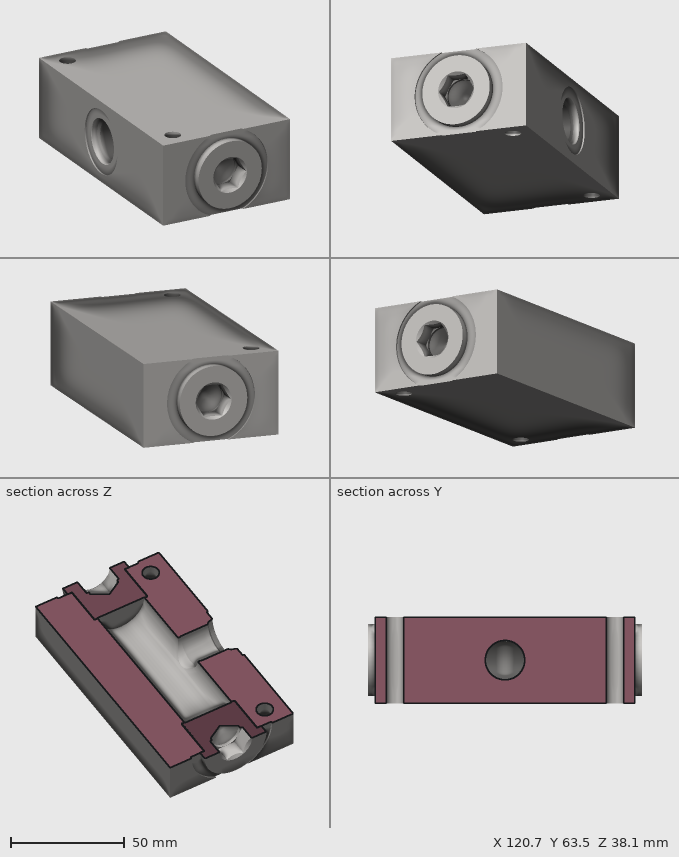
import cadquery as cq
import math

overall_length = 120.7
block_length = 114.3
block_width = 63.5
block_height = 38.1

mount_hole_diameter = 7.4
mount_hole_offset_x = 48.4
mount_hole_edge_distance = 9.5

port_spotface_diameter = 30.2
port_spotface_depth = 0.7
port_mouth_diameter = 21.0
port_mouth_chamfer = 0.2
port_seat_diameter = 19.3
port_seat_depth = 2.5
port_throat_diameter = 17.1
port_throat_depth = 3.5
port_pilot_diameter = 16.7
port_pilot_depth = 17.5

bore_diameter = 24.0
plug_spotface_diameter = 41.4
plug_spotface_depth = 0.8

plug_head_diameter = 31.7
plug_shank_diameter = 26.9
plug_shank_length = 19.3
plug_inner_end = block_length / 2 - plug_spotface_depth - plug_shank_length

hex_across_flats = 14.2
hex_across_corners = hex_across_flats / math.cos(math.pi / 6)
hex_depth = 7.8
drill_below_hex = 1.5
drill_depth = hex_depth + drill_below_hex
hex_chamfer_diameter = 16.9
chamfer_cone_half_angle = math.radians(45)
drill_tip_half_angle = math.radians(59)

SIDES = (-1, 1)


def cylinder_on_x(diameter, start_x, end_x):
    return cq.Workplane("YZ", origin=(start_x, 0, 0)).circle(diameter / 2).extrude(end_x - start_x)


def make_port_cutter():
    """Stepped bore of the front port, revolved about the Y axis and ending on the main bore's axis."""
    face_y = -block_width / 2
    spotface_y = face_y + port_spotface_depth
    return (
        cq.Workplane("XY")
        .moveTo(0, face_y)
        .lineTo(port_spotface_diameter / 2, face_y)
        .lineTo(port_spotface_diameter / 2, spotface_y)
        .lineTo(port_mouth_diameter / 2, spotface_y)
        .lineTo(port_mouth_diameter / 2 - port_mouth_chamfer, spotface_y + port_mouth_chamfer)
        .lineTo(port_seat_diameter / 2, spotface_y + port_seat_depth)
        .lineTo(port_throat_diameter / 2, spotface_y + port_throat_depth)
        .lineTo(port_throat_diameter / 2, spotface_y + port_pilot_depth)
        .lineTo(port_pilot_diameter / 2, spotface_y + port_pilot_depth)
        .lineTo(port_pilot_diameter / 2, 0)
        .lineTo(0, 0)
        .close()
        .revolve(360, (0, 0, 0), (0, 1, 0))
    )


def make_block():
    block = cq.Workplane("XY").box(block_length, block_width, block_height)

    end_x = block_length / 2
    block = block.cut(cylinder_on_x(bore_diameter, -end_x, end_x))
    for side in SIDES:
        block = block.cut(cylinder_on_x(plug_shank_diameter, side * plug_inner_end, side * end_x))
        spotface_x = end_x - plug_spotface_depth
        block = block.cut(cylinder_on_x(plug_spotface_diameter, side * spotface_x, side * end_x))

    block = block.cut(make_port_cutter())

    mount_hole_y = -block_width / 2 + mount_hole_edge_distance
    mount_holes = (
        cq.Workplane("XY", origin=(0, 0, -block_height / 2))
        .pushPoints([(side * mount_hole_offset_x, mount_hole_y) for side in SIDES])
        .circle(mount_hole_diameter / 2)
        .extrude(block_height)
    )
    return block.cut(mount_holes)


def make_socket_cutter():
    """Hexagon socket of the plug on the +X side, with a chamfered mouth and a deeper drilled hole."""
    mouth_x = overall_length / 2
    hexagon = (
        cq.Workplane("YZ", origin=(mouth_x, 0, 0))
        .polygon(6, hex_across_corners)
        .extrude(-hex_depth)
    )
    chamfer_depth = hex_chamfer_diameter / 2 / math.tan(chamfer_cone_half_angle)
    chamfer_cone = cq.Solid.makeCone(
        hex_chamfer_diameter / 2, 0, chamfer_depth, cq.Vector(mouth_x, 0, 0), cq.Vector(-1, 0, 0)
    )
    drill_end = mouth_x - drill_depth
    drill = cylinder_on_x(hex_across_flats, drill_end, mouth_x)
    tip_depth = hex_across_flats / 2 / math.tan(drill_tip_half_angle)
    drill_tip = cq.Solid.makeCone(
        hex_across_flats / 2, 0, tip_depth, cq.Vector(drill_end, 0, 0), cq.Vector(-1, 0, 0)
    )
    return hexagon.union(drill).union(cq.Workplane(chamfer_cone)).union(cq.Workplane(drill_tip))


def make_plug(turn):
    """End plug, built on the +X side and turned about Z by the given angle."""
    seat_x = block_length / 2 - plug_spotface_depth
    head = cylinder_on_x(plug_head_diameter, seat_x, overall_length / 2)
    shank = cylinder_on_x(plug_shank_diameter, plug_inner_end, seat_x)
    plug = head.union(shank).cut(make_socket_cutter())
    return plug.rotate((0, 0, 0), (0, 0, 1), turn)


block = make_block()
plugs = [make_plug(turn) for turn in (0, 180)]

result = cq.Compound.makeCompound([block.val(), *[plug.val() for plug in plugs]])